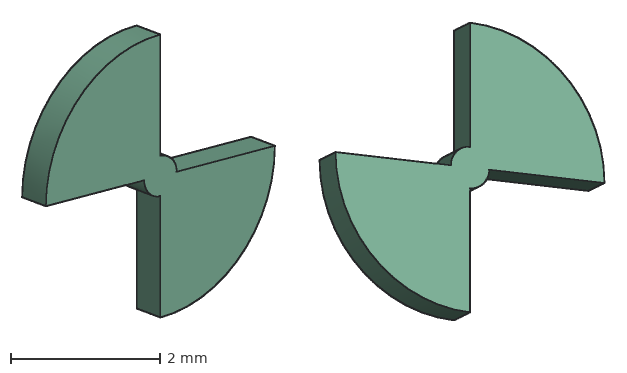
import cadquery as cq

thickness = 0.5
blade_radius = 2.0
hub_radius = 0.285


def quarter_blade(side):
    """Quarter disc between the Y and Z axes; side=1 is (-Y, +Z), side=-1 is (+Y, -Z)."""
    diagonal = side * blade_radius / 2**0.5
    return (
        cq.Workplane("YZ")
        .lineTo(-side * blade_radius, 0)
        .threePointArc((-diagonal, diagonal), (0, side * blade_radius))
        .close()
        .extrude(thickness / 2, both=True)
    )


result = cq.Workplane("YZ").circle(hub_radius).extrude(thickness / 2, both=True)
for side in (1, -1):
    result = result.union(quarter_blade(side))